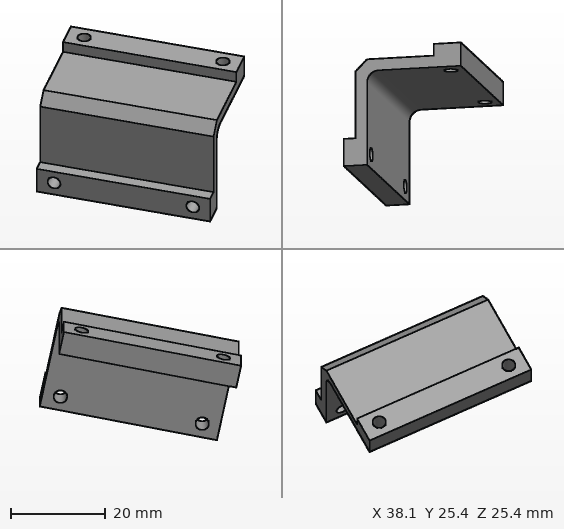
import cadquery as cq

length = 38.13
leg = 25.4
pad_thickness = 5.07
wall = pad_thickness / 2
pad_width = 5.9
corner_chamfer = wall
inner_radius = wall
hole_diameter = 2.82
hole_end_offset = 3.8
hole_edge_offset = 3.05

hole_spacing = length - 2 * hole_end_offset


def bracket_body():
    """Angle profile in the YZ plane, extruded along X, with a pad on each free edge."""
    outer_y = pad_thickness - wall
    outer_z = leg - outer_y
    inner_y = pad_thickness
    inner_z = leg - pad_thickness
    body = (
        cq.Workplane("YZ")
        .moveTo(0, 0)
        .lineTo(inner_y, 0)
        .lineTo(inner_y, inner_z - inner_radius)
        .radiusArc((inner_y + inner_radius, inner_z), inner_radius)
        .lineTo(leg, inner_z)
        .lineTo(leg, leg)
        .lineTo(leg - pad_width, leg)
        .lineTo(leg - pad_width, outer_z)
        .lineTo(outer_y + corner_chamfer, outer_z)
        .lineTo(outer_y, outer_z - corner_chamfer)
        .lineTo(outer_y, pad_width)
        .lineTo(0, pad_width)
        .close()
        .extrude(length)
    )
    return body.translate((-length / 2, 0, 0))


def hole_pair(plane, edge_position):
    """Two cylinders through a pad, starting on the given plane through the origin."""
    return (
        cq.Workplane(plane)
        .pushPoints([(-hole_spacing / 2, edge_position), (hole_spacing / 2, edge_position)])
        .circle(hole_diameter / 2)
        .extrude(pad_thickness)
    )


lower_holes = hole_pair("XZ", hole_edge_offset).translate((0, pad_thickness, 0))
upper_holes = hole_pair("XY", leg - hole_edge_offset).translate((0, 0, leg - pad_thickness))

result = bracket_body().cut(lower_holes).cut(upper_holes)